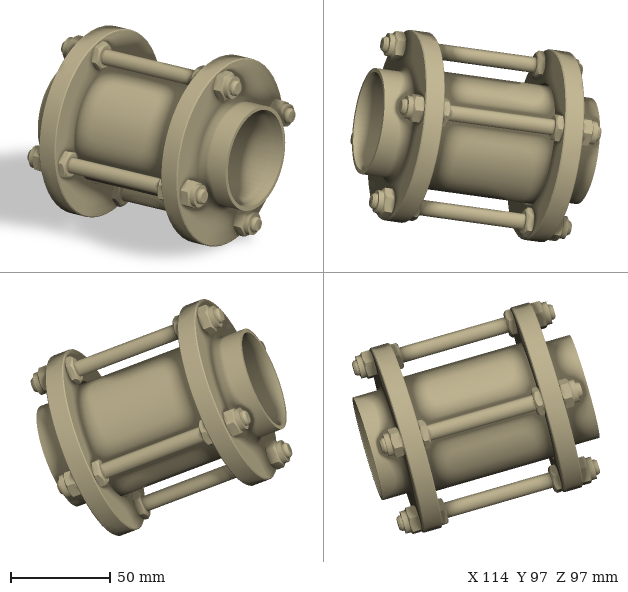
import cadquery as cq
import math

length = 114.0
bore_diameter = 50.0
pipe_diameter = 54.0
barrel_diameter = 60.0
pipe_fillet = (barrel_diameter - pipe_diameter) / 2

flange_diameter = 97.0
flange_inner_x = 31.9
flange_thickness = 10.0
flange_outer_x = flange_inner_x + flange_thickness
flange_chamfer = 0.5
recess_diameter = 62.5
recess_depth = flange_thickness / 2

stud_count = 4
stud_circle_radius = 40.7
stud_angle = 13.0
stud_diameter = 8.0
stud_length = 105.3
stud_tip_length = 1.3
stud_tip_diameter = 6.3

nut_across_flats = 13.0
nut_across_corners = nut_across_flats / math.cos(math.pi / 6)
nut_seat_diameter = 12.5
nut_slope = math.tan(math.radians(30))
jam_nut_height = 4.1
jam_face_diameter = 11.7
jam_face_slope = math.tan(math.radians(40))
lock_nut_height = 5.6
collar_diameter = 11.6
collar_height = 2.6

left_lock_turn = 4.0
left_jam_turn = 9.0
right_jam_turn = 0.0
right_lock_turn = 2.0


def cylinder(diameter, start_x, height):
    """Solid cylinder about the X axis, growing from start_x by a signed height."""
    return cq.Workplane("YZ", origin=(start_x, 0, 0)).circle(diameter / 2).extrude(height)


def weld_end(side):
    """Pipe end outside a flange, flared by a concave fillet to the flange face."""
    pipe_radius = pipe_diameter / 2
    face_x = side * flange_outer_x
    arc_offset = pipe_fillet * (1 - math.sqrt(0.5))
    return (
        cq.Workplane("XY")
        .moveTo(face_x, 0)
        .lineTo(side * length / 2, 0)
        .lineTo(side * length / 2, pipe_radius)
        .lineTo(face_x + side * pipe_fillet, pipe_radius)
        .threePointArc(
            (face_x + side * arc_offset, pipe_radius + arc_offset),
            (face_x, pipe_radius + pipe_fillet),
        )
        .close()
        .revolve(360, (0, 0, 0), (1, 0, 0))
    )


def flange(side):
    """Chamfered disc with a round recess in its inner face to receive the barrel."""
    disc = cylinder(flange_diameter, side * flange_inner_x, side * flange_thickness)
    disc = disc.edges().chamfer(flange_chamfer)
    return disc.cut(cylinder(recess_diameter, side * flange_inner_x, side * recess_depth))


def barrel():
    """Central tube reaching the floor of both flange recesses."""
    half_length = flange_inner_x + recess_depth
    return cylinder(barrel_diameter, -half_length, 2 * half_length)


def nut(seat_x, direction, height, turn, face_diameter, face_slope):
    """Hexagon nut standing on seat_x, its corners cut by a cone at both faces."""
    hexagon = (
        cq.Workplane("YZ", origin=(seat_x, 0, 0))
        .polygon(6, nut_across_corners)
        .extrude(direction * height)
        .rotate((0, 0, 0), (1, 0, 0), turn)
    )
    corner_radius = nut_across_corners / 2
    seat_radius = nut_seat_diameter / 2
    face_radius = face_diameter / 2
    seat_cut = (corner_radius - seat_radius) * nut_slope
    face_cut = (corner_radius - face_radius) * face_slope
    face_x = seat_x + direction * height
    turned_blank = (
        cq.Workplane("XY")
        .moveTo(seat_x, 0)
        .lineTo(seat_x, seat_radius)
        .lineTo(seat_x + direction * seat_cut, corner_radius)
        .lineTo(face_x - direction * face_cut, corner_radius)
        .lineTo(face_x, face_radius)
        .lineTo(face_x, 0)
        .close()
        .revolve(360, (0, 0, 0), (1, 0, 0))
    )
    return hexagon.intersect(turned_blank)


def lock_nut(side, turn):
    """Nut on the outer flange face with a round collar on its free face."""
    seat_x = side * flange_outer_x
    hexagon = nut(seat_x, side, lock_nut_height, turn, collar_diameter, nut_slope)
    collar = cylinder(collar_diameter, seat_x, side * (lock_nut_height + collar_height))
    return hexagon.union(collar)


def jam_nut(side, turn):
    """Thin nut on the inner flange face."""
    return nut(side * flange_inner_x, -side, jam_nut_height, turn, jam_face_diameter, jam_face_slope)


def stud():
    """Rod along the X axis with a tapered tip at each end."""
    rod = cylinder(stud_diameter, -stud_length / 2, stud_length)
    tip_inset = (stud_diameter - stud_tip_diameter) / 2
    return rod.faces("<X or >X").chamfer(stud_tip_length, tip_inset)


def stud_assembly():
    """Stud on the X axis with its four nuts."""
    return (
        stud()
        .union(lock_nut(-1, left_lock_turn))
        .union(jam_nut(-1, left_jam_turn))
        .union(jam_nut(1, right_jam_turn))
        .union(lock_nut(1, right_lock_turn))
    )


result = barrel()
for side in (-1, 1):
    result = result.union(flange(side)).union(weld_end(side))

swing = math.radians(stud_angle)
first_stud = stud_assembly().translate(
    (0, -stud_circle_radius * math.sin(swing), stud_circle_radius * math.cos(swing))
)
for index in range(stud_count):
    result = result.union(first_stud.rotate((0, 0, 0), (1, 0, 0), index * 360 / stud_count))

result = result.cut(cylinder(bore_diameter, -length / 2, length))